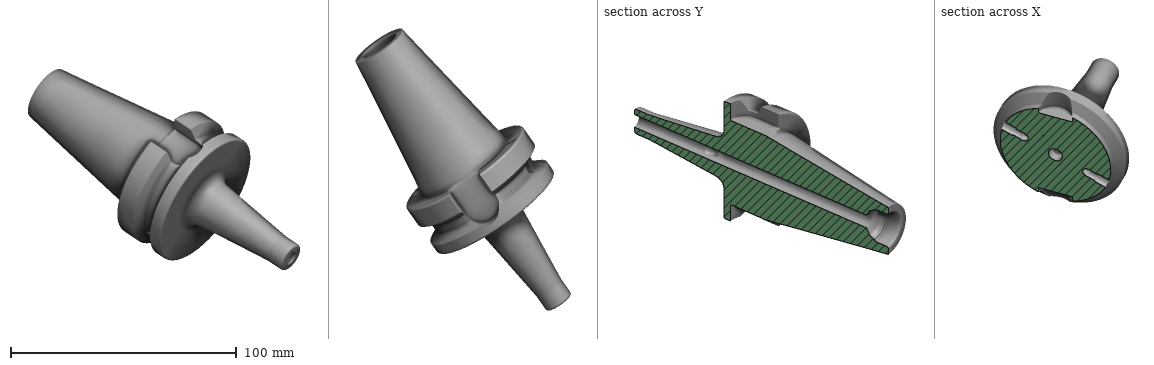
import cadquery as cq
import math

total_length = 142.4

gauge_x = 65.4
gauge_radius = 22.2
taper_slope = 7 / 24 / 2
shank_end_radius = gauge_radius - gauge_x * taper_slope
neck_fillet = 0.9

flange_radius = 31.5
flange_start_x = 67.4
flange_end_x = 92.4
flange_fillet = 1.0
groove_x = 81.9
groove_floor_radius = 26.5
groove_mouth_half = 5.0
groove_wall_angle = 60
groove_floor_half = groove_mouth_half - (
    (flange_radius - groove_floor_radius) / math.tan(math.radians(groove_wall_angle))
)
groove_fillet = 0.5

nose_fillet = 4.7
nose_angle = 6.2
nose_tip_radius = 6.7
nose_cone_end_x = 134.3
nose_tip_fillet = 1.1
nose_root_radius = nose_tip_radius + (
    (nose_cone_end_x - flange_end_x) * math.tan(math.radians(nose_angle))
)

pilot_radius = 8.5
pilot_depth = 6.7
mouth_round = 1.1
first_step_radius = 8.3
first_step_depth = 7.7
second_step_radius = 7.5
second_step_depth = 8.7
funnel_radius = 6.5
funnel_angle = 30
through_radius = 3.3
bore_floor_angle = 60

slot_half_width = 8.1
slot_floor_z = 22.6
slot_end_x = 88.6
slot_chamfer = 0.4

coolant_position = 20
channel_diameter = 4.3
channel_entry_radius = 26.8
channel_slope = 35
plug_diameter = 5.0
plug_floor_radius = 20.8
crossing_diameter = 4.0
crossing_radius = channel_entry_radius - (
    (groove_x - flange_start_x) * math.tan(math.radians(channel_slope))
)


def toward(start, end, distance):
    """Point at a distance from start on the line to end."""
    share = distance / math.dist(start, end)
    return tuple(a + (b - a) * share for a, b in zip(start, end))


def turned(corners):
    """Revolve a closed (x, radius, fillet) outline about the X axis, rounding its filleted corners."""
    outline = cq.Workplane("XY").moveTo(*corners[0][:2])
    for index in range(1, len(corners)):
        x, radius, fillet = corners[index]
        corner = (x, radius)
        if fillet == 0:
            outline = outline.lineTo(*corner)
            continue
        before = corners[index - 1][:2]
        after = corners[(index + 1) % len(corners)][:2]
        along_in = toward(corner, before, 1.4)
        along_out = toward(corner, after, 1.4)
        middle = ((along_in[0] + along_out[0]) / 2, (along_in[1] + along_out[1]) / 2)
        half_angle = math.asin(math.dist(along_in, along_out) / 2.8)
        tangent_length = fillet / math.tan(half_angle)
        arc_depth = fillet / math.sin(half_angle) - fillet
        outline = outline.lineTo(*toward(corner, before, tangent_length)).threePointArc(
            toward(corner, middle, arc_depth), toward(corner, after, tangent_length)
        )
    return outline.close().revolve(360, (0, 0, 0), (1, 0, 0))


def holder_body():
    return turned([
        (0, 0, 0),
        (0, shank_end_radius, 0),
        (gauge_x, gauge_radius, 0),
        (flange_start_x, gauge_radius, neck_fillet),
        (flange_start_x, flange_radius, flange_fillet),
        (groove_x - groove_mouth_half, flange_radius, 0),
        (groove_x - groove_floor_half, groove_floor_radius, groove_fillet),
        (groove_x + groove_floor_half, groove_floor_radius, groove_fillet),
        (groove_x + groove_mouth_half, flange_radius, 0),
        (flange_end_x, flange_radius, flange_fillet),
        (flange_end_x, nose_root_radius, nose_fillet),
        (nose_cone_end_x, nose_tip_radius, 0),
        (total_length, nose_tip_radius, nose_tip_fillet),
        (total_length, 0, 0),
    ])


def cone_length(large_radius, small_radius, angle):
    """Axial length of a cone whose wall leans from the axis by the given angle."""
    return (large_radius - small_radius) / math.tan(math.radians(angle))


def bore():
    funnel_end = second_step_depth + cone_length(second_step_radius, funnel_radius, funnel_angle)
    floor_end = funnel_end + cone_length(funnel_radius, through_radius, bore_floor_angle)
    drilled = turned([
        (0, 0, 0),
        (0, pilot_radius, 0),
        (pilot_depth, pilot_radius, 0),
        (pilot_depth, first_step_radius, 0),
        (first_step_depth, first_step_radius, 0),
        (first_step_depth, second_step_radius, 0),
        (second_step_depth, second_step_radius, 0),
        (funnel_end, funnel_radius, 0),
        (floor_end, through_radius, 0),
        (total_length, through_radius, 0),
        (total_length, 0, 0),
    ])
    flare_radius = pilot_radius + mouth_round
    flare = (
        cq.Workplane("XY")
        .lineTo(0, flare_radius)
        .radiusArc((mouth_round, pilot_radius), -mouth_round)
        .lineTo(mouth_round, 0)
        .close()
        .revolve(360, (0, 0, 0), (1, 0, 0))
    )
    return drilled.union(flare)


def slot_prism(start_x, end_x, growth):
    """Box above the slot floor, with sides and floor moved outwards by growth."""
    floor_z = slot_floor_z - growth
    return cq.Workplane("XY").box(
        end_x - start_x, 2 * (slot_half_width + growth), flange_radius, centered=(False, True, False)
    ).translate((start_x, 0, floor_z))


def drive_slot():
    arc_x = slot_end_x - slot_half_width
    slot = slot_prism(gauge_x, arc_x, 0).union(
        cq.Workplane("XY", origin=(arc_x, 0, slot_floor_z)).circle(slot_half_width).extrude(flange_radius)
    )
    mouth_bevel = (
        slot_prism(gauge_x, flange_start_x + slot_chamfer, slot_chamfer)
        .faces(">X").chamfer(slot_chamfer)
    )
    edge_z = math.sqrt(flange_radius**2 - slot_half_width**2)
    edge_bevels = (
        cq.Workplane("YZ", origin=(gauge_x, 0, 0))
        .moveTo(-slot_half_width, edge_z - slot_chamfer)
        .lineTo(slot_half_width, edge_z - slot_chamfer)
        .lineTo(slot_half_width + 2 * slot_chamfer, edge_z + slot_chamfer)
        .lineTo(-slot_half_width - 2 * slot_chamfer, edge_z + slot_chamfer)
        .close()
        .extrude(groove_x - gauge_x)
    )
    return slot.union(mouth_bevel).union(edge_bevels)


def radial_hole(diameter, floor_radius):
    """Hole along +Y under the middle of the groove, down to the given radius."""
    return (
        cq.Workplane("XZ", origin=(groove_x, floor_radius, 0))
        .circle(diameter / 2)
        .extrude(floor_radius - flange_radius)
    )


def coolant_passage():
    """Channel sloping inwards to the through bore, with its stepped radial hole."""
    slope = math.radians(channel_slope)
    run_in = channel_diameter
    channel = cq.Solid.makeCylinder(
        channel_diameter / 2,
        channel_entry_radius / math.sin(slope) + run_in,
        cq.Vector(
            flange_start_x - run_in * math.cos(slope),
            channel_entry_radius + run_in * math.sin(slope),
            0,
        ),
        cq.Vector(math.cos(slope), -math.sin(slope), 0),
    )
    passage = radial_hole(plug_diameter, plug_floor_radius)
    passage = passage.union(radial_hole(crossing_diameter, crossing_radius))
    return passage.union(cq.Workplane(channel)).rotate((0, 0, 0), (1, 0, 0), coolant_position)


result = holder_body().cut(bore())
for turn in (0, 180):
    result = result.cut(drive_slot().rotate((0, 0, 0), (1, 0, 0), turn))
    result = result.cut(coolant_passage().rotate((0, 0, 0), (1, 0, 0), turn))